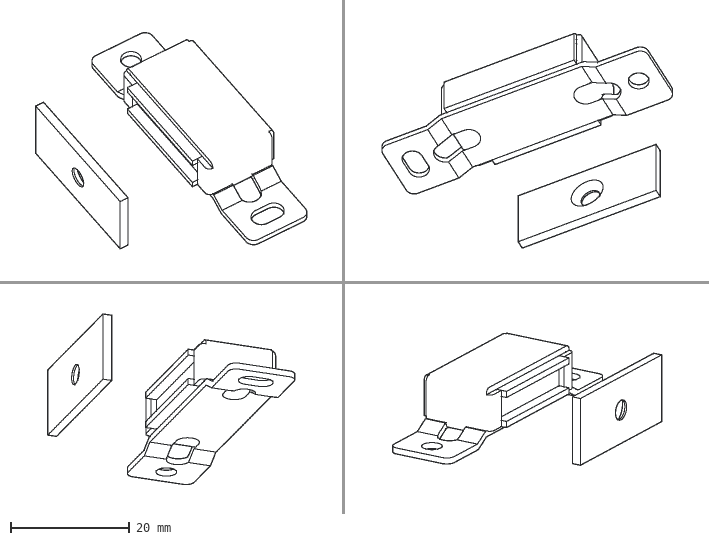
import cadquery as cq
import math


cover_length = 26.5
cover_depth = 12.0
wall = 1.0
top_thickness = 1.05
bend_radius = 0.95
mouth_width = 20.0

strap_length = 50.0
strap_thickness = 1.1
strap_rise = 1.5
raised_half_length = 13.5
slope_angle = 30.0
strap_corner_radius = 1.5
screw_diameter = 3.5
screw_offset = 21.0
screw_slot_length = 6.0
tab_slot_width = 4.0
tab_slot_outer_end = 17.4
tab_slot_inner_end = 9.0

pole_stack_height = 6.5
pole_thickness = 1.1
pole_protrusion = 1.0

strike_length = 26.0
strike_height = 12.0
strike_thickness = 1.6
countersink_diameter = 6.0
countersink_angle = 90.0
strike_gap = 15.0

strap_top = strap_rise + strap_thickness
stack_top = strap_top + pole_stack_height
cover_top = stack_top + top_thickness
stack_middle = strap_top + pole_stack_height / 2
cover_half = cover_length / 2
cavity_length = cover_length - 2 * wall
back_face = cover_depth / 2
front_face = -cover_depth / 2
pole_tip = front_face - wall - pole_protrusion


def block(x_range, y_range, z_range):
    """Box between the given limits on each axis."""
    (x0, x1), (y0, y1), (z0, z1) = x_range, y_range, z_range
    return cq.Workplane("XY").box(x1 - x0, y1 - y0, z1 - z0, centered=False).translate((x0, y0, z0))


def tab_slot(side, z_range):
    """Round-ended prism filling one tab slot; side is -1 or +1."""
    z0, z1 = z_range
    middle = side * (tab_slot_outer_end + tab_slot_inner_end) / 2
    return (
        cq.Workplane("XY", origin=(middle, 0, z0))
        .slot2D(tab_slot_outer_end - tab_slot_inner_end, tab_slot_width)
        .extrude(z1 - z0)
    )


def make_tab(side):
    """Tab folded from a side wall into the strap slot, flush with the raised strap."""
    end_faces = sorted((side * tab_slot_inner_end, side * cover_half))
    tab = block(end_faces, (-tab_slot_width / 2, tab_slot_width / 2), (strap_rise, strap_top))
    tab = tab.edges("|Y and <Z").edges(">X" if side > 0 else "<X").fillet(bend_radius)
    return tab.intersect(tab_slot(side, (strap_rise, strap_top)))


def make_front_flap(side):
    """Flap folded from a side wall across the front of the pole stack."""
    x_limits = sorted((side * mouth_width / 2, side * cover_half))
    flap = block(x_limits, (front_face - wall, front_face), (strap_top, stack_top))
    outer_corner = cq.selectors.NearestToPointSelector((side * cover_half, front_face - wall, stack_middle))
    return flap.edges(outer_corner).fillet(bend_radius)


def make_cover():
    z_limits = (strap_top, cover_top)
    shell = block((-cover_half, cover_half), (front_face, back_face), z_limits)
    shell = shell.edges("|Y and >Z").fillet(bend_radius)
    cavity = block(
        (-cavity_length / 2, cavity_length / 2), (front_face, back_face), (strap_top, stack_top)
    )
    back_flap = block((-cavity_length / 2, cavity_length / 2), (back_face, back_face + wall), z_limits)
    back_flap = back_flap.edges("|X and >Z and >Y").fillet(bend_radius)
    cover = shell.cut(cavity).union(back_flap)
    for side in (-1, 1):
        cover = cover.union(make_front_flap(side)).union(make_tab(side))
    return cover


def make_strap():
    slope_run = strap_rise / math.tan(math.radians(slope_angle))
    bend_shift = strap_thickness * math.tan(math.radians(slope_angle / 2))
    foot_bend = raised_half_length + slope_run
    half = strap_length / 2
    strap = (
        cq.Workplane("XZ", origin=(0, back_face, 0))
        .moveTo(0, strap_top)
        .lineTo(raised_half_length, strap_top)
        .lineTo(foot_bend, strap_thickness)
        .lineTo(half, strap_thickness)
        .lineTo(half, 0)
        .lineTo(foot_bend - bend_shift, 0)
        .lineTo(raised_half_length - bend_shift, strap_rise)
        .lineTo(0, strap_rise)
        .close()
        .extrude(cover_depth)
    )
    strap = strap.union(strap.mirror("YZ"))
    strap = strap.edges("|Z and (<X or >X)").fillet(strap_corner_radius)
    for side in (-1, 1):
        strap = strap.cut(tab_slot(side, (0, strap_top)))
    screw_hole = (
        cq.Workplane("XY").center(-screw_offset, 0).circle(screw_diameter / 2).extrude(strap_thickness)
    )
    screw_slot = (
        cq.Workplane("XY")
        .center(screw_offset, 0)
        .slot2D(screw_slot_length, screw_diameter, angle=90)
        .extrude(strap_thickness)
    )
    return strap.cut(screw_hole).cut(screw_slot)


def make_pole_plate(bottom):
    """T-shaped plate: wide inside the cover, narrower where it passes between the front flaps."""
    z_limits = (bottom, bottom + pole_thickness)
    inner = block((-cavity_length / 2, cavity_length / 2), (front_face, back_face), z_limits)
    nose = block((-mouth_width / 2, mouth_width / 2), (pole_tip, front_face), z_limits)
    return inner.union(nose)


def make_magnet():
    return block(
        (-cavity_length / 2, cavity_length / 2),
        (front_face, back_face),
        (strap_top + pole_thickness, stack_top - pole_thickness),
    )


def make_strike_plate():
    """Flat plate with a screw hole countersunk on the face that meets the poles."""
    strike_back = pole_tip - strike_gap
    plate = block(
        (-strike_length / 2, strike_length / 2),
        (strike_back - strike_thickness, strike_back),
        (stack_middle - strike_height / 2, stack_middle + strike_height / 2),
    )
    return (
        plate.faces(">Y")
        .workplane(centerOption="CenterOfBoundBox")
        .cskHole(screw_diameter, countersink_diameter, countersink_angle)
    )


cover = make_cover()
strap = make_strap()
pole_plates = [make_pole_plate(bottom) for bottom in (strap_top, stack_top - pole_thickness)]
magnet = make_magnet()
strike_plate = make_strike_plate()

result = cq.Compound.makeCompound(
    [
        cover.solids().val(),
        strap.solids().val(),
        *[plate.solids().val() for plate in pole_plates],
        magnet.solids().val(),
        strike_plate.solids().val(),
    ]
)